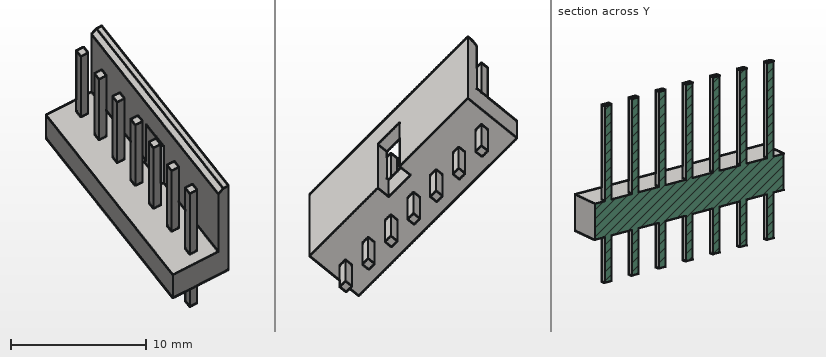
import cadquery as cq

length = 17.5
depth = 4.9
base_height = 2.89
wall_height = 7.5
wall_thickness = 0.91
back_y = depth / 2
wall_front_y = back_y - wall_thickness
wall_top_z = base_height + wall_height

bevel_depth = 0.44
bevel_height = 0.38

window_width = 2.4
window_depth = 1.08
window_height = 4.48

pin_count = 7
pin_pitch = 2.5
pin_size = 0.65
pin_length = 14.0
pin_setback = 2.5
pin_y = back_y - pin_setback
pin_bottom_z = wall_top_z - pin_length


def make_housing():
    """L-shaped side profile extruded along the connector."""
    return (
        cq.Workplane("YZ", origin=(-length / 2, 0, 0))
        .moveTo(-depth / 2, 0)
        .lineTo(back_y, 0)
        .lineTo(back_y, wall_top_z)
        .lineTo(wall_front_y + bevel_depth, wall_top_z)
        .lineTo(wall_front_y, wall_top_z - bevel_height)
        .lineTo(wall_front_y, base_height)
        .lineTo(-depth / 2, base_height)
        .close()
        .extrude(length)
    )


def make_window():
    """Block removed from the back, open at the underside."""
    return cq.Workplane("XY").box(
        window_width, window_depth, base_height + window_height, centered=(True, True, False)
    ).translate((0, back_y - window_depth / 2, 0))


def make_pins():
    """Row of straight square pins, evenly spaced about the centre."""
    return (
        cq.Workplane("XY", origin=(0, pin_y, pin_bottom_z))
        .rarray(pin_pitch, 0.18, pin_count, 1)
        .rect(pin_size, pin_size)
        .extrude(pin_length)
    )


result = make_housing().cut(make_window()).union(make_pins())